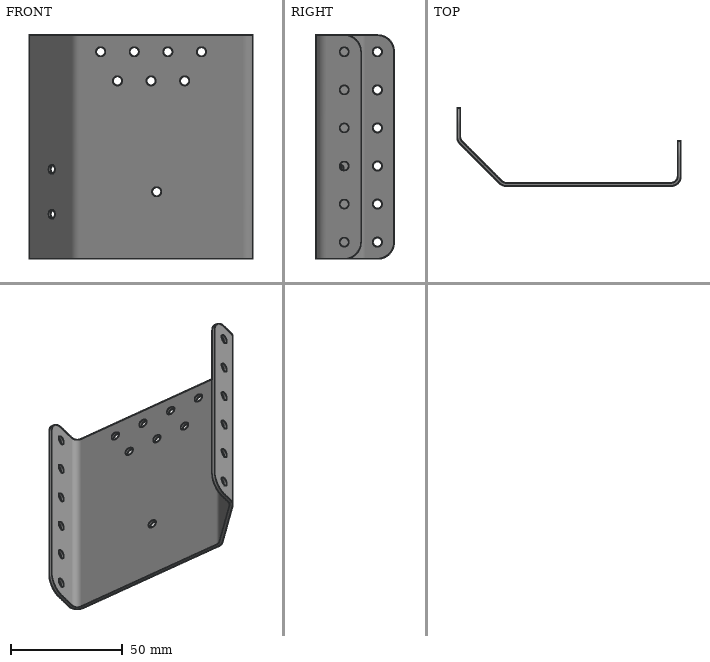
import cadquery as cq
import math

width = 100.0
depth = 35.0
height = 100.0
thickness = 1.5
inner_bend_radius = 3.0
outer_bend_radius = inner_bend_radius + thickness
right_flange_depth = 20.2
slant_leg = 20.2
tip_radius = 7.5

hole_diameter = 4.0
flange_hole_inset = 7.5
flange_hole_count = 6
slant_hole_heights = (20.0, 40.0)
row_pitch = 15.0
row_start_x = 32.0
row_top_inset = 7.5
row_spacing = row_pitch * math.sin(math.radians(60))
lower_hole_x = 57.0
lower_hole_z = 30.0


def bent_sheet():
    """Extrude the bent profile along Z, then round its bends inside and outside."""
    inner_shift = thickness * math.tan(math.radians(22.5))
    inner_leg = slant_leg + inner_shift
    right_inner_x = width - thickness
    outer_corners = [(0, slant_leg), (slant_leg, 0), (width, 0)]
    inner_corners = [
        (right_inner_x, thickness),
        (slant_leg + inner_shift, thickness),
        (thickness, inner_leg),
    ]
    outline = (
        [(0, depth)]
        + outer_corners
        + [(width, right_flange_depth), (right_inner_x, right_flange_depth)]
        + inner_corners
        + [(thickness, depth)]
    )
    sheet = cq.Workplane("XY").polyline(outline).close().extrude(height)
    for corners, radius in ((outer_corners, outer_bend_radius), (inner_corners, inner_bend_radius)):
        for x, y in corners:
            edge = cq.selectors.NearestToPointSelector((x, y, height / 2))
            sheet = sheet.edges("|Z").edges(edge).fillet(radius)
    return sheet


def drill(origin, direction):
    """Cylinder that passes through one wall, centred on its outer face."""
    reach = 2 * thickness
    axis = cq.Vector(*direction).normalized()
    start = cq.Vector(*origin) - axis * reach
    return cq.Workplane(cq.Solid.makeCylinder(hole_diameter / 2, 2 * reach, start, axis))


def hole_places():
    """List each hole as a point on the outer face and a drilling direction."""
    places = []
    flange_pitch = (height - 2 * flange_hole_inset) / (flange_hole_count - 1)
    for i in range(flange_hole_count):
        z = flange_hole_inset + i * flange_pitch
        places.append(((0, depth - flange_hole_inset, z), (1, 0, 0)))
        places.append(((width, right_flange_depth - flange_hole_inset, z), (-1, 0, 0)))
    for z in slant_hole_heights:
        places.append(((slant_leg / 2, slant_leg / 2, z), (1, 1, 0)))
    for row, count in enumerate((4, 3)):
        z = height - row_top_inset - row * row_spacing
        for i in range(count):
            x = row_start_x + (i + row / 2) * row_pitch
            places.append(((x, 0, z), (0, 1, 0)))
    places.append(((lower_hole_x, 0, lower_hole_z), (0, 1, 0)))
    return places


result = bent_sheet()

for flange_x, tip_y in ((thickness / 2, depth), (width - thickness / 2, right_flange_depth)):
    for end_z in (0, height):
        corner = cq.selectors.NearestToPointSelector((flange_x, tip_y, end_z))
        result = result.edges("|X").edges(corner).fillet(tip_radius)

for origin, direction in hole_places():
    result = result.cut(drill(origin, direction))